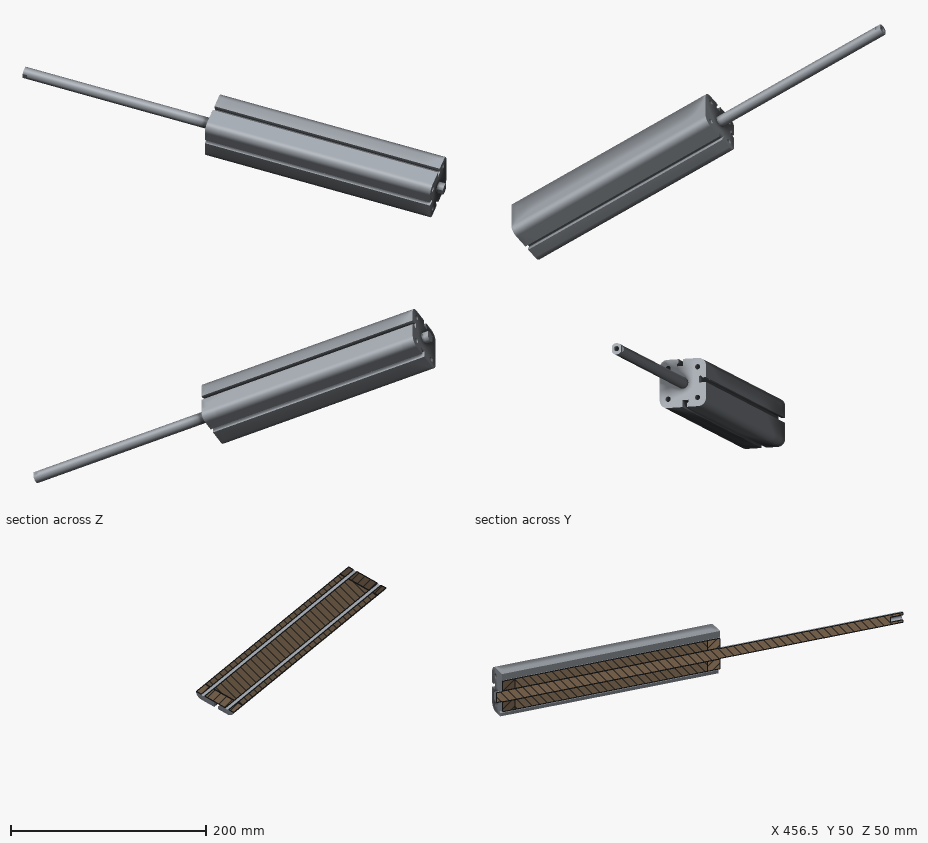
import cadquery as cq

TOTAL_LENGTH = 456.5
FRONT_FACE_X = 205.0
FRONT_CAP_LENGTH = 15.0
REAR_CAP_LENGTH = 13.5
ROD_REAR_REACH = 7.0
REAR_FACE_X = TOTAL_LENGTH - ROD_REAR_REACH
BARREL_FRONT_X = FRONT_FACE_X + FRONT_CAP_LENGTH
BARREL_REAR_X = REAR_FACE_X - REAR_CAP_LENGTH

SECTION_SIZE = 50.0
CORNER_RADIUS = 8.0

BOLT_SPACING = 32.0
BOLT_HOLE_DIAMETER = 5.5

GROOVE_DEPTH = 7.5
GROOVE_WALL_Y = -0.5
GROOVE_MOUTH_WIDTH = 5.0
GROOVE_LIP_DEPTH = 3.5
GROOVE_HOOK_REACH = 2.0
GROOVE_HOOK_DEPTH = 5.5
GROOVE_TURNS = (0, 90, 180)

ROD_DIAMETER = 12.0
FLAT_WIDTH = 10.0
FRONT_FLAT_LENGTH = 5.0
REAR_FLAT_GAP = 1.0
REAR_FLAT_LENGTH = ROD_REAR_REACH - REAR_FLAT_GAP
ROD_BORE_DIAMETER = 5.0
ROD_BORE_DEPTH = 13.5
BORE_CHAMFER = 0.5


def section_plane(x):
    """Plane across the rod axis, with +Y to its right and +Z up."""
    return cq.Workplane("YZ", origin=(x, 0, 0))


def groove_cutter(x, length):
    """Groove in the top face, with a sloping hook undercut on its +Y side."""
    top = SECTION_SIZE / 2
    mouth_y = GROOVE_WALL_Y + GROOVE_MOUTH_WIDTH
    hook_y = mouth_y + GROOVE_HOOK_REACH
    outline = [
        (GROOVE_WALL_Y, top),
        (GROOVE_WALL_Y, top - GROOVE_DEPTH),
        (hook_y, top - GROOVE_DEPTH),
        (hook_y, top - GROOVE_HOOK_DEPTH),
        (mouth_y, top - GROOVE_LIP_DEPTH),
        (mouth_y, top),
    ]
    return section_plane(x).polyline(outline).close().extrude(length)


def cylinder_section(x, length):
    """Length of the grooved square profile with its corner holes and rod hole."""
    body = section_plane(x).rect(SECTION_SIZE, SECTION_SIZE).extrude(length)
    body = body.edges("|X").fillet(CORNER_RADIUS)

    bolt_holes = (
        section_plane(x)
        .rect(BOLT_SPACING, BOLT_SPACING, forConstruction=True)
        .vertices()
        .circle(BOLT_HOLE_DIAMETER / 2)
        .extrude(length)
    )
    rod_hole = section_plane(x).circle(ROD_DIAMETER / 2).extrude(length)
    body = body.cut(bolt_holes).cut(rod_hole)

    groove = groove_cutter(x, length)
    for turn in GROOVE_TURNS:
        body = body.cut(groove.rotate((0, 0, 0), (1, 0, 0), turn))
    return body


def flats_cutter(x, length):
    """Two blocks that leave parallel wrench flats on the +Y and -Y sides of the rod."""
    block_offset = (FLAT_WIDTH + ROD_DIAMETER) / 2
    blocks = section_plane(x).pushPoints([(block_offset, 0), (-block_offset, 0)])
    return blocks.rect(ROD_DIAMETER, 2 * ROD_DIAMETER).extrude(length)


def make_rod():
    """Through rod with wrench flats at both ends and a chamfered blind bore in the front end."""
    rod = section_plane(0).circle(ROD_DIAMETER / 2).extrude(TOTAL_LENGTH)
    rod = rod.cut(flats_cutter(0, FRONT_FLAT_LENGTH))
    rod = rod.cut(flats_cutter(REAR_FACE_X + REAR_FLAT_GAP, REAR_FLAT_LENGTH))
    bore = section_plane(0).circle(ROD_BORE_DIAMETER / 2).extrude(ROD_BORE_DEPTH)
    mouth = (
        section_plane(0)
        .circle(ROD_BORE_DIAMETER / 2 + BORE_CHAMFER)
        .workplane(offset=BORE_CHAMFER)
        .circle(ROD_BORE_DIAMETER / 2)
        .loft(ruled=True)
    )
    return rod.cut(bore).cut(mouth)


front_cap = cylinder_section(FRONT_FACE_X, FRONT_CAP_LENGTH)
barrel = cylinder_section(BARREL_FRONT_X, BARREL_REAR_X - BARREL_FRONT_X)
rear_cap = cylinder_section(BARREL_REAR_X, REAR_CAP_LENGTH)
rod = make_rod()

result = cq.Compound.makeCompound([front_cap.val(), barrel.val(), rear_cap.val(), rod.val()])